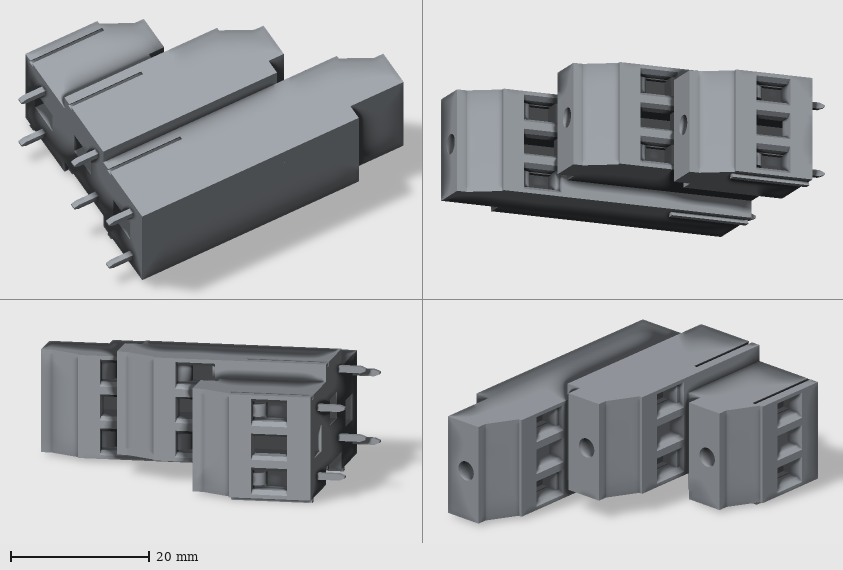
import cadquery as cq
import math


block_width = 34.05 / 3
layer_pitch = 10.15
level_step = 2.55
outer_slab = 2.55
block_height = layer_pitch + 2 * outer_slab
block_count = 3
middle_index = 1
pin_length = 4.0
tallest_block = 49 - pin_length
block_rise = 13.48
first_block_length = tallest_block - 2 * block_rise

left_ledge = 0.55
left_ledge_drop = 6.05
head_left = 3.0
head_right = 8.9
head_side_length = 1.5
right_ledge_drop = 2.55
last_ledge_drop = 8.85

seam_bevel = 0.5
seam_levels = [outer_slab, outer_slab + layer_pitch]

dovetail_x = 1.7
dovetail_neck = 0.55
dovetail_base = 1.15
dovetail_depth = 0.6
dovetail_length = first_block_length - left_ledge_drop

screw_x = 5.4
screw_diameter = 3.0
shaft_left = 2.85
shaft_width = 5.0
shaft_height = 3.85
shaft_overrun = 1.45

window_drop = 9.25
chamber_length = 5.3
long_window_length = 5.9
funnel_depth = 0.9
wire_window_height = 3.95
wire_chamber_height = 2.85
screw_window_height = 3.85
screw_passage_height = 2.95

chamber_depth = 2.65
cavity_height = 2.55
cavity_depth = 1.0

clamp_radius = 1.15
clamp_flat = 0.75
clamp_height = 2.35
clamp_thickness = clamp_radius
first_clamp_flat = 0.6
first_clamp_height = 1.75
first_clamp_thickness = 1.35
clamp_root = 0.5

pin_size = 0.95
pin_places = [5.45, 20.82, 30.95]
pin_tip_length = 0.8
pin_tip_size = 0.3


def block_left(index):
    return index * block_width


def block_base(index):
    return level_step if index == middle_index else 0


def block_length(index):
    return first_block_length + index * block_rise


def box(x, y, z, dx, dy, dz):
    """Box from its corner with the smallest X and Y, centred on height z."""
    return cq.Workplane("XY").box(dx, dy, dz, centered=(False, False, True)).translate((x, y, z))


def housing_block(index):
    top = block_length(index)
    ledge_drop = last_ledge_drop if index == block_count - 1 else right_ledge_drop
    outline = [
        (0, 0),
        (block_width, 0),
        (block_width, top - ledge_drop),
        (head_right, top - ledge_drop),
        (head_right, top),
        (head_left, top),
        (head_left, top - head_side_length),
        (left_ledge, top - left_ledge_drop),
        (0, top - left_ledge_drop),
    ]
    block = cq.Workplane("XY").polyline(outline).close().extrude(block_height)
    return block.translate((block_left(index), 0, block_base(index)))


def dovetail(index, top_height):
    """Dovetail bar along Y, narrow at top_height and wider below it."""
    x = block_left(index) + dovetail_x
    outline = [
        (x - dovetail_neck / 2, top_height),
        (x + dovetail_neck / 2, top_height),
        (x + dovetail_base / 2, top_height - dovetail_depth),
        (x - dovetail_base / 2, top_height - dovetail_depth),
    ]
    return cq.Workplane("XZ").polyline(outline).close().extrude(-dovetail_length)


def funnel(x, y, z, length, outer_height, inner_height):
    """Window mouth that narrows in height from the left wall inwards."""
    outline = [
        (x, z - outer_height / 2),
        (x + funnel_depth, z - inner_height / 2),
        (x + funnel_depth, z + inner_height / 2),
        (x, z + outer_height / 2),
    ]
    return cq.Workplane("XZ", origin=(0, y, 0)).polyline(outline).close().extrude(-length)


def window_length(index):
    return chamber_length if index == 0 else long_window_length


def screw_opening(index):
    """Shaft from the pin side, screw hole to the top end and the window beside the shaft."""
    x = block_left(index)
    z = block_base(index) + block_height / 2
    length = window_length(index)
    window_end = block_length(index) - window_drop
    window_start = window_end - length
    shaft = box(x + shaft_left, 0, z, shaft_width, window_end + shaft_overrun, shaft_height)
    hole = (
        cq.Workplane("XZ", origin=(x + screw_x, 0, z))
        .circle(screw_diameter / 2)
        .extrude(-block_length(index))
    )
    mouth = funnel(x, window_start, z, length, screw_window_height, screw_passage_height)
    passage = box(x, window_start, z, shaft_left, length, screw_passage_height)
    return shaft.union(hole).union(mouth).union(passage)


def clamp_length(index):
    flat = first_clamp_flat if index == 0 else clamp_flat
    return flat + clamp_radius


def wire_clamp(index, x, window_end, z):
    """Bar left in the chamber, its front edge rounded on the pin side."""
    height = first_clamp_height if index == 0 else clamp_height
    thickness = first_clamp_thickness if index == 0 else clamp_thickness
    length = clamp_length(index)
    front = x + chamber_depth - thickness
    start = window_end - length
    bulge = clamp_radius * (1 - math.sqrt(0.5))
    return (
        cq.Workplane("XY", origin=(0, 0, z - height / 2))
        .moveTo(x + chamber_depth, window_end)
        .lineTo(front, window_end)
        .lineTo(front, start + clamp_radius)
        .threePointArc((front + bulge, start + bulge), (front + clamp_radius, start))
        .lineTo(x + chamber_depth + clamp_root, start)
        .lineTo(x + chamber_depth + clamp_root, window_end)
        .close()
        .extrude(height)
    )


def wire_opening(index, seam):
    """Wire window, its chamber with the clamp left standing, and the cavity behind."""
    x = block_left(index)
    z = block_base(index) + seam
    length = window_length(index)
    window_end = block_length(index) - window_drop
    chamber_start = window_end - chamber_length
    mouth = funnel(x, window_end - length, z, length, wire_window_height, wire_chamber_height)
    chamber = box(x, chamber_start, z, chamber_depth, chamber_length, wire_chamber_height)
    cavity_length = chamber_length - clamp_length(index)
    cavity = box(x, chamber_start, z, chamber_depth + cavity_depth, cavity_length, cavity_height)
    return mouth.union(chamber).cut(wire_clamp(index, x, window_end, z)).union(cavity)


def pin(index, seam):
    """Square pin on the seam, its tip tapered in height."""
    z = block_base(index) + seam
    taper_start = pin_tip_length - pin_length
    outline = [
        (0, z - pin_size / 2),
        (taper_start, z - pin_size / 2),
        (-pin_length, z - pin_tip_size / 2),
        (-pin_length, z + pin_tip_size / 2),
        (taper_start, z + pin_size / 2),
        (0, z + pin_size / 2),
    ]
    left = pin_places[index] - pin_size / 2
    return cq.Workplane("YZ", origin=(left, 0, 0)).polyline(outline).close().extrude(pin_size)


def undivided_terminal():
    """The whole terminal, before the seams divide it into layers."""
    terminal = cq.Workplane("XY")
    for index in range(block_count):
        terminal = terminal.union(housing_block(index))
    for index in range(block_count):
        base = block_base(index)
        terminal = terminal.union(dovetail(index, base))
        terminal = terminal.cut(dovetail(index, base + block_height))
        terminal = terminal.cut(screw_opening(index))
        for seam in seam_levels:
            terminal = terminal.cut(wire_opening(index, seam))
            terminal = terminal.union(pin(index, seam))
    return terminal


def space_above(seam):
    """Everything above a seam, which rises with the middle block over bevelled steps."""
    low = seam
    high = seam + level_step
    first_step = block_width
    second_step = 2 * block_width
    right = block_count * block_width
    ceiling = high + 2 * block_height
    outline = [
        (0, low),
        (first_step - seam_bevel, low),
        (first_step, low + seam_bevel),
        (first_step, high - seam_bevel),
        (first_step + seam_bevel, high),
        (second_step - seam_bevel, high),
        (second_step, high - seam_bevel),
        (second_step, low + seam_bevel),
        (second_step + seam_bevel, low),
        (right, low),
        (right, ceiling),
        (0, ceiling),
    ]
    profile = cq.Workplane("XZ", origin=(0, -pin_length, 0)).polyline(outline).close()
    return profile.extrude(-(pin_length + tallest_block))


terminal = undivided_terminal()
above_lower_seam = space_above(seam_levels[0])
above_upper_seam = space_above(seam_levels[1])

base_layer = terminal.cut(above_lower_seam)
middle_layer = terminal.intersect(above_lower_seam).cut(above_upper_seam)
cover_layer = terminal.intersect(above_upper_seam)

result = cq.Compound.makeCompound(
    [base_layer.solids().val(), middle_layer.solids().val(), cover_layer.solids().val()]
)